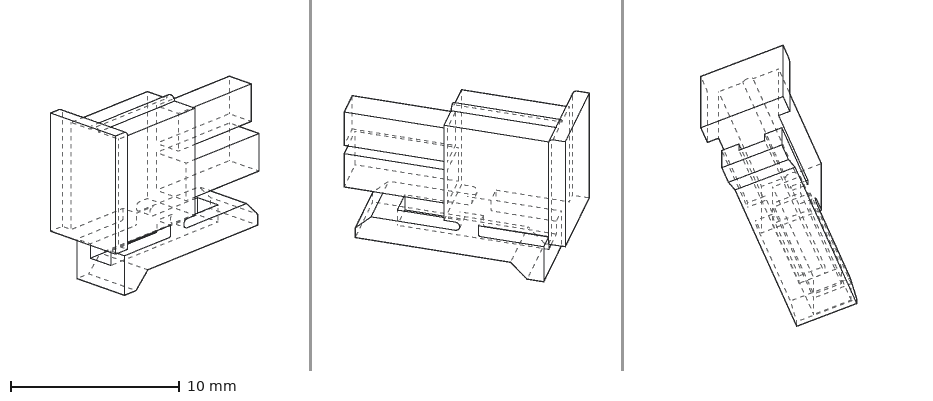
import cadquery as cq

plate_width = 5.28
plate_thickness = 1.04
plate_height = 7.56
plate_round = 0.3

body_width = 3.85
body_back = 7.66
body_height = 6.85

rib_radius = 0.32
rib_center_x = -0.04

total_length = 14.0
bar_left = -1.2
bar_height = 2.41
upper_bar_width = 1.78
lower_bar_width = 2.41
lower_bar_bottom = 0.73
bar_pitch = 3.0

latch_front = 1.53
latch_back = 13.12
latch_gap = 0.59
thumb_top = -0.75
lever_bottom = -2.27
hook_bottom = plate_height - 10.85
hook_tip_length = 1.02
hook_slope = lever_bottom - hook_bottom
nose_chamfer = 0.98
stem_front = 5.55
stem_back = 6.69
stem_front_round = 0.13
stem_back_radius = latch_gap / 2

slot_width = 1.65
slot_floor = -1.68
slot_back = 10.84


def block(x_left, width, y_front, y_back, z_bottom, height):
    """Box placed by its left, front and bottom faces."""
    corner = (x_left, y_front, z_bottom)
    return cq.Workplane("XY").box(width, y_back - y_front, height, centered=False).translate(corner)


def make_plate():
    plate = block(-plate_width / 2, plate_width, 0, plate_thickness, 0, plate_height)
    return plate.edges(">Y and >Z").fillet(plate_round)


def make_body():
    return block(-body_width / 2, body_width, plate_thickness, body_back, 0, body_height)


def make_rib():
    """Round bar sunk to half its depth in the housing top."""
    rib_plane = cq.Workplane("XZ", origin=(rib_center_x, body_back, body_height))
    return rib_plane.circle(rib_radius).extrude(body_back - plate_thickness)


def make_bar(width, z_bottom):
    return block(bar_left, width, body_back, total_length, z_bottom, bar_height)


def make_latch():
    arc_start_y = stem_back + stem_back_radius
    hook_tip_back = latch_front + hook_tip_length
    profile = (
        cq.Workplane("YZ")
        .moveTo(stem_front, 0)
        .lineTo(stem_front, thumb_top + stem_front_round)
        .radiusArc((stem_front - stem_front_round, thumb_top), stem_front_round)
        .lineTo(latch_front, thumb_top)
        .lineTo(latch_front, hook_bottom)
        .lineTo(hook_tip_back, hook_bottom)
        .lineTo(hook_tip_back + hook_slope, lever_bottom)
        .lineTo(latch_back, lever_bottom)
        .lineTo(latch_back, -latch_gap - nose_chamfer)
        .lineTo(latch_back - nose_chamfer, -latch_gap)
        .lineTo(arc_start_y, -latch_gap)
        .threePointArc((stem_back, -latch_gap / 2), (arc_start_y, 0))
        .close()
    )
    lever = profile.extrude(body_width / 2, both=True)
    slot = block(-slot_width / 2, slot_width, latch_front, slot_back, slot_floor, -slot_floor)
    return lever.cut(slot)


result = (
    make_plate()
    .union(make_body())
    .union(make_rib())
    .union(make_bar(lower_bar_width, lower_bar_bottom))
    .union(make_bar(upper_bar_width, lower_bar_bottom + bar_pitch))
    .union(make_latch())
)